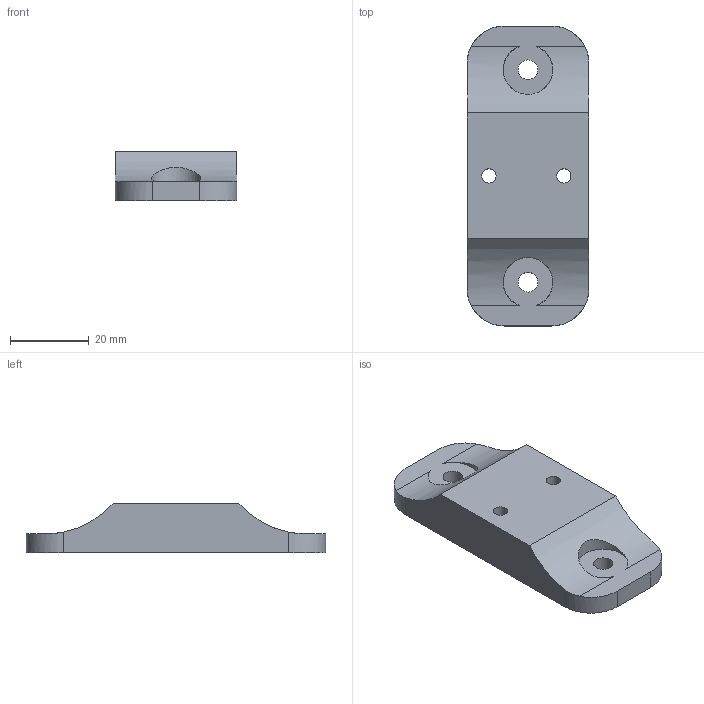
import cadquery as cq
import math

width = 30.99
length = 76.23
height = 12.7
base_thickness = 4.9
corner_radius = 9.5

top_length = 32.0
flank_foot_y = 32.9

mount_hole_y = 27.0
mount_hole_diameter = 5.0
counterbore_diameter = 12.6

block_hole_spacing = 19.05
block_hole_offset_x = -0.4
block_hole_diameter = 3.6


def flank_midpoint():
    """Return the (y, z) point halfway along the concave flank on the +Y side."""
    run = flank_foot_y - top_length / 2
    rise = height - base_thickness
    radius = (run**2 + rise**2) / (2 * rise)
    half_sweep = math.asin(run / radius) / 2
    mid_y = flank_foot_y - radius * math.sin(half_sweep)
    mid_z = base_thickness + radius * (1 - math.cos(half_sweep))
    return mid_y, mid_z


def make_body():
    """Extrude the side profile across the width and round the plan corners."""
    half_length = length / 2
    half_top = top_length / 2
    mid_y, mid_z = flank_midpoint()
    profile = (
        cq.Workplane("YZ")
        .moveTo(-half_length, 0)
        .lineTo(half_length, 0)
        .lineTo(half_length, base_thickness)
        .lineTo(flank_foot_y, base_thickness)
        .threePointArc((mid_y, mid_z), (half_top, height))
        .lineTo(-half_top, height)
        .threePointArc((-mid_y, mid_z), (-flank_foot_y, base_thickness))
        .lineTo(-half_length, base_thickness)
        .close()
    )
    body = profile.extrude(width / 2, both=True)
    outline = (
        cq.Workplane("XY")
        .rect(width, length)
        .extrude(height)
        .edges("|Z")
        .fillet(corner_radius)
    )
    return body.intersect(outline)


def cylinders(centers, diameter, bottom):
    """Make upright cylinders from the bottom level to the top of the part."""
    return (
        cq.Workplane("XY")
        .workplane(offset=bottom)
        .pushPoints(centers)
        .circle(diameter / 2)
        .extrude(height - bottom)
    )


mount_centers = [(0, -mount_hole_y), (0, mount_hole_y)]
block_centers = [(block_hole_offset_x + side * block_hole_spacing / 2, 0) for side in (-1, 1)]

result = (
    make_body()
    .cut(cylinders(mount_centers, counterbore_diameter, base_thickness))
    .cut(cylinders(mount_centers, mount_hole_diameter, 0))
    .cut(cylinders(block_centers, block_hole_diameter, 0))
)